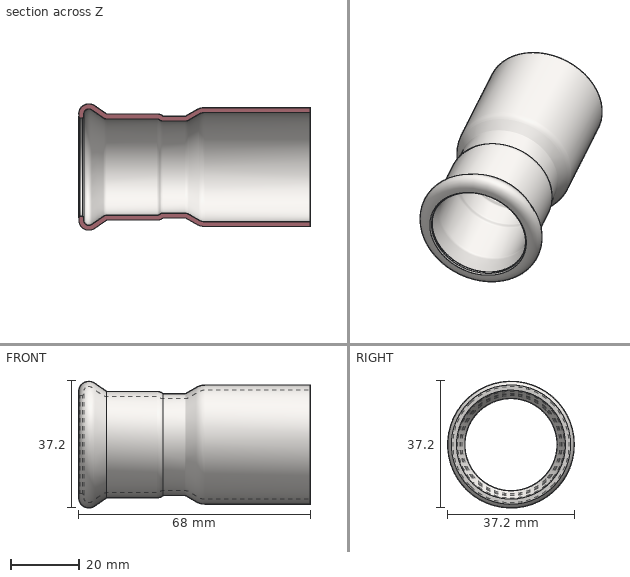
import cadquery as cq
import math


length = 68.0
bead_diameter = 37.2

socket_outer_diameter = 31.3
socket_bore_diameter = 28.2
neck_outer_diameter = 30.0
neck_bore_diameter = 27.0
end_outer_diameter = 35.0
end_bore_diameter = 32.0
mouth_diameter = 28.8

socket_wall = (socket_outer_diameter - socket_bore_diameter) / 2
end_wall = (end_outer_diameter - end_bore_diameter) / 2

bead_round_radius = 3.0
bead_end_x = 8.2

lip_bevel = 0.4

shoulder_start_x = 23.0
shoulder_end_x = 24.8

flare_start_x = 31.25
flare_angle = math.radians(30)
flare_root_radius = 0.5
flare_rim_radius = 4.8

bead_center_x = bead_round_radius
bead_center_r = bead_diameter / 2 - bead_round_radius


def polar(center, radius, angle):
    """Point on a circle, with the angle measured from the +X direction."""
    return (center[0] + radius * math.cos(angle), center[1] + radius * math.sin(angle))


def bead_tangent_angle():
    """Angle on the outer bead circle where the cone that runs to the socket wall touches it."""
    dx = bead_end_x - bead_center_x
    dr = socket_outer_diameter / 2 - bead_center_r
    return math.atan2(dr, dx) + math.acos(bead_round_radius / math.hypot(dx, dr))


def add_bead(sketch, radius):
    """Draw the bead arc from its front to the point where the cone begins."""
    center = (bead_center_x, bead_center_r)
    end_angle = bead_tangent_angle()
    middle = polar(center, radius, (math.pi + end_angle) / 2)
    sketch = sketch.lineTo(*polar(center, radius, math.pi))
    return sketch.threePointArc(middle, polar(center, radius, end_angle))


def shoulder_round():
    """Center, radius and sweep of the outer shoulder arc, which is tangent to the socket."""
    run = shoulder_end_x - shoulder_start_x
    drop = (socket_outer_diameter - neck_outer_diameter) / 2
    radius = (run**2 + drop**2) / (2 * drop)
    center = (shoulder_start_x, socket_outer_diameter / 2 - radius)
    return center, radius, math.asin(run / radius)


def add_shoulder(sketch, radius):
    """Draw the socket wall and the rounded drop after it, about the center of the shoulder."""
    center, _, sweep = shoulder_round()
    sketch = sketch.lineTo(center[0], center[1] + radius)
    middle = polar(center, radius, math.pi / 2 - sweep / 2)
    return sketch.threePointArc(middle, polar(center, radius, math.pi / 2 - sweep))


def add_shoulder_root(sketch, start, neck_r):
    """Draw the concave arc that leads the shoulder smoothly into the neck wall."""
    _, _, sweep = shoulder_round()
    radius = (start[1] - neck_r) / (1 - math.cos(sweep))
    center = (start[0] + radius * math.sin(sweep), neck_r + radius)
    middle = polar(center, radius, -math.pi / 2 - sweep / 2)
    return sketch.threePointArc(middle, (center[0], neck_r))


def add_flare(sketch, neck_r, end_r, root_radius, rim_radius):
    """Draw the neck wall, the rounded cone up to the plain end, and the plain end itself."""
    rise_per_radius = 1 - math.cos(flare_angle)
    root_center = (flare_start_x, neck_r + root_radius)
    cone_start = polar(root_center, root_radius, flare_angle - math.pi / 2)
    root_middle = polar(root_center, root_radius, flare_angle / 2 - math.pi / 2)

    cone_end_r = end_r - rim_radius * rise_per_radius
    cone_end_x = cone_start[0] + (cone_end_r - cone_start[1]) / math.tan(flare_angle)
    rim_center = (cone_end_x + rim_radius * math.sin(flare_angle), end_r - rim_radius)
    rim_middle = polar(rim_center, rim_radius, math.pi / 2 + flare_angle / 2)

    sketch = sketch.lineTo(flare_start_x, neck_r).threePointArc(root_middle, cone_start)
    sketch = sketch.lineTo(cone_end_x, cone_end_r)
    sketch = sketch.threePointArc(rim_middle, (rim_center[0], end_r))
    return sketch.lineTo(length, end_r)


def revolve_about_x(sketch):
    """Close the half profile and turn it about the X axis."""
    return sketch.close().revolve(360, (0, 0, 0), (1, 0, 0))


def outer_body():
    """Solid body bounded by the outside of the tube."""
    sketch = add_bead(cq.Workplane("XY").moveTo(0, 0), bead_round_radius)
    sketch = sketch.lineTo(bead_end_x, socket_outer_diameter / 2)
    sketch = add_shoulder(sketch, shoulder_round()[1])
    sketch = add_flare(
        sketch,
        neck_outer_diameter / 2,
        end_outer_diameter / 2,
        flare_root_radius,
        flare_rim_radius,
    )
    return revolve_about_x(sketch.lineTo(length, 0))


def add_mouth(sketch):
    """Draw the beveled lip of the mouth, from the front face to the seal groove."""
    lip_r = mouth_diameter / 2
    bevel_r = lip_r + lip_bevel
    sketch = sketch.lineTo(0, bevel_r).lineTo(lip_bevel, lip_r)
    return sketch.lineTo(socket_wall - lip_bevel, lip_r).lineTo(socket_wall, bevel_r)


def inner_cavity():
    """Bore of the tube, following the outside about one wall thickness further in."""
    bead_foot = (bead_end_x, socket_outer_diameter / 2)
    cone_side = bead_tangent_angle() - math.pi
    foot_middle = polar(bead_foot, socket_wall, (cone_side - math.pi / 2) / 2)
    shoulder_center, shoulder_radius, shoulder_sweep = shoulder_round()
    inner_shoulder_radius = shoulder_radius - socket_wall
    root_start = polar(shoulder_center, inner_shoulder_radius, math.pi / 2 - shoulder_sweep)

    sketch = add_mouth(cq.Workplane("XY").moveTo(0, 0))
    sketch = add_bead(sketch, bead_round_radius - socket_wall)
    sketch = sketch.lineTo(*polar(bead_foot, socket_wall, cone_side))
    sketch = sketch.threePointArc(foot_middle, (bead_end_x, socket_bore_diameter / 2))
    sketch = add_shoulder(sketch, inner_shoulder_radius)
    sketch = add_shoulder_root(sketch, root_start, neck_bore_diameter / 2)
    sketch = add_flare(
        sketch,
        neck_bore_diameter / 2,
        end_bore_diameter / 2,
        flare_root_radius + end_wall,
        flare_rim_radius - end_wall,
    )
    return revolve_about_x(sketch.lineTo(length, 0))


result = outer_body().cut(inner_cavity())